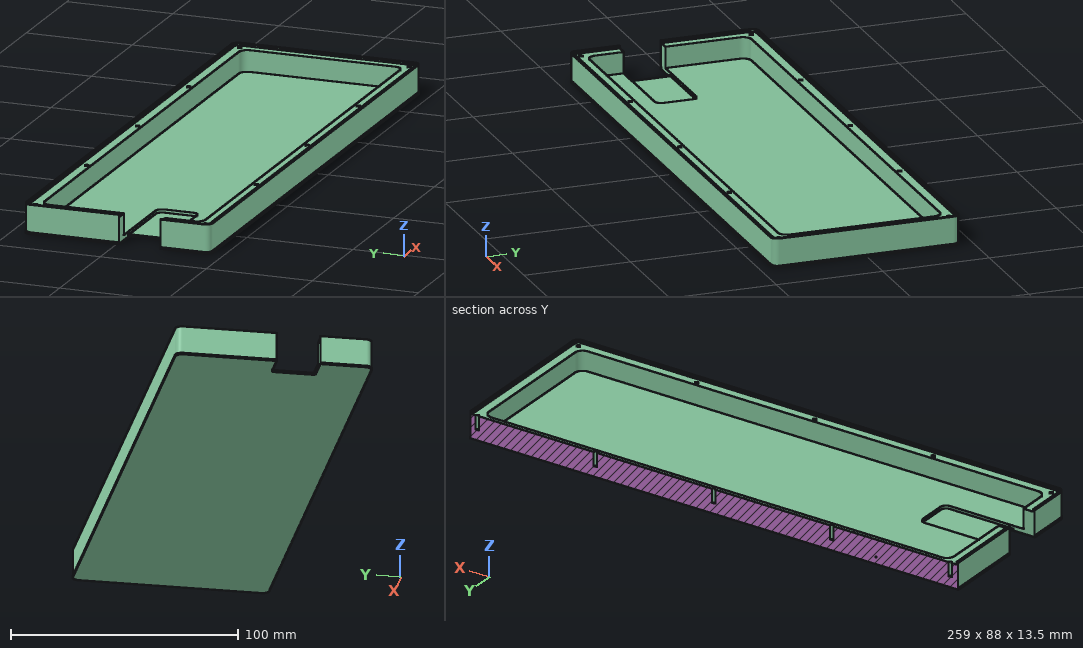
import cadquery as cq

length = 259.0
width = 88.0
height = 13.5
corner_radius = 3.0

base_height = 0.8
base_overhang = 0.05

wall = 6.0
cavity_radius = 4.0
floor_thickness = 2.5

lip_width = 1.0
lip_height = 1.0

opening_width = 19.5
opening_center_y = -10.75
opening_reach = 12.5
opening_radius = 1.25
relief_reach = 48.0
relief_radius = 3.0
relief_floor_thickness = 1.0

hole_diameter = 1.6
hole_inset = 4.0
hole_row_shift = 0.25
holes_per_row = 5
hole_bottom = 5.5


def rounded_block(inset, radius, bottom, top):
    """Block inset from the overall outline, with rounded vertical edges."""
    block = (
        cq.Workplane("XY")
        .workplane(offset=bottom)
        .rect(length - 2 * inset, width - 2 * inset)
        .extrude(top - bottom)
    )
    return block.edges("|Z").fillet(radius)


def end_slot(reach, radius, bottom):
    """Cutter reaching in from the -X end, with rounded inner corners."""
    slot = (
        cq.Workplane("XY")
        .workplane(offset=bottom)
        .center((reach - length) / 2, opening_center_y)
        .rect(reach, opening_width)
        .extrude(height - bottom)
    )
    return slot.edges("|Z and >X").fillet(radius)


def screw_holes():
    """Cutters for the two rows of screw holes."""
    spacing_x = (length - 2 * hole_inset) / (holes_per_row - 1)
    spacing_y = width - 2 * hole_inset
    return (
        cq.Workplane("XY")
        .workplane(offset=hole_bottom)
        .center(hole_row_shift, 0)
        .rarray(spacing_x, spacing_y, holes_per_row, 2)
        .circle(hole_diameter / 2)
        .extrude(height - hole_bottom)
    )


base_plate = rounded_block(0, corner_radius, 0, base_height)
upper_body = rounded_block(base_overhang, corner_radius, 0, height)
rim_recess = rounded_block(lip_width, corner_radius - lip_width, height - lip_height, height)
cavity = rounded_block(wall, cavity_radius, floor_thickness, height)
relief = end_slot(relief_reach, relief_radius, relief_floor_thickness)
opening = end_slot(opening_reach, opening_radius, 0)

result = (
    base_plate.union(upper_body)
    .cut(rim_recess)
    .cut(cavity)
    .cut(relief)
    .cut(opening)
    .cut(screw_holes())
)